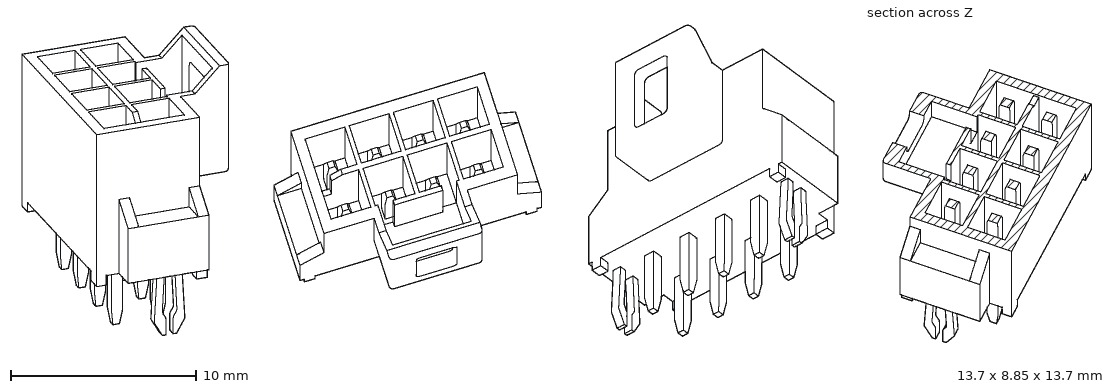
import cadquery as cq


BODY_X = 10.94
BODY_Y = 5.98
BODY_Z = 8.5
BACK_Y = BODY_Y / 2

COLUMNS = 4
ROWS = 2
PITCH = 2.5
CAVITY_X = 2.25
CAVITY_Y = 2.18
CAVITY_FLOOR_Z = 1.92

PIN_WIDTH = 0.65
PIN_TOP_Z = 5.76
PIN_BOTTOM_Z = -3.78
PIN_TOP_TIP_WIDTH = 0.34
PIN_TOP_TAPER = 0.74
PIN_BOTTOM_TIP_WIDTH = 0.38
PIN_BOTTOM_TAPER = 0.88

LATCH_X = 5.26
LATCH_Y = 2.87
LATCH_TOP_Z = 9.93
LATCH_BOTTOM_Z = 3.47
LATCH_ROUND = 0.22
LATCH_LIP = 0.59
LATCH_INNER_X = 4.44
LATCH_BACK_WALL = 0.85
LATCH_FLOOR_Z = LATCH_BOTTOM_Z + 0.41
LATCH_BACK_Y = BACK_Y + LATCH_Y
WINDOW_X = 2.3
WINDOW_TOP_Z = 8.61
WINDOW_BOTTOM_Z = 4.66
WINDOW_ROUND = 0.27
SCREEN_X = 2.73
SCREEN_THICKNESS = 0.27

KEY_GAP_X = 0.71
KEY_BEVEL_X = 0.62
KEY_BEVEL_Z = 0.62
KEY_GAP_DEPTH = 3.43

TOTAL_X = 13.65
WING_Y = 4.69
WING_FLAT_Z = 3.26
WING_TOP_Z = 4.41
WING_RIB_Y = 0.62

FOOT_Z = 0.56
BODY_FOOT_X = 0.82
BODY_FOOT_Y = 0.56
WING_FOOT_X = 0.62
WING_FOOT_Y = 0.62
WING_FOOT_INSET = 0.25

LOCK_X = 5.92
LOCK_Y = 0.96
LOCK_THICKNESS = 0.52
LOCK_OUTER_ROOT = 0.74
LOCK_OUTER_BARB = 0.89
LOCK_OUTER_TIP = 0.41
LOCK_INNER_ROOT = 0.32
LOCK_INNER_NECK = 0.43
LOCK_INNER_TIP = 0.2
LOCK_BEND_Z = -0.26
LOCK_BARB_Z = -2.95
LOCK_NECK_Z = -2.4
LOCK_THROAT_Z = -2.77
LOCK_BARB_ROUND = 0.14
LOCK_INNER_ROUND = 0.34


def box(x_range, y_range, z_range):
    """Box between the given limits."""
    size = [high - low for low, high in (x_range, y_range, z_range)]
    corner = (x_range[0], y_range[0], z_range[0])
    return cq.Workplane("XY").box(*size, centered=False).translate(corner)


def centred(width):
    """Limits of a width laid evenly about the origin."""
    return (-width / 2, width / 2)


def both_sides(shape):
    """The shape together with its mirror image across the YZ plane."""
    return shape.union(shape.mirror("YZ"))


def contact_positions():
    """Centre of every contact, row by row."""
    return [
        ((column - (COLUMNS - 1) / 2) * PITCH, (row - (ROWS - 1) / 2) * PITCH)
        for row in range(ROWS)
        for column in range(COLUMNS)
    ]


def make_latch():
    """Box behind the housing with a raised back wall sloping down to the housing top."""
    slope_run = LATCH_TOP_Z - BODY_Z
    profile = [
        (0, LATCH_BOTTOM_Z),
        (LATCH_BACK_Y, LATCH_BOTTOM_Z),
        (LATCH_BACK_Y, LATCH_TOP_Z),
        (LATCH_BACK_Y - LATCH_LIP, LATCH_TOP_Z),
        (LATCH_BACK_Y - LATCH_LIP - slope_run, BODY_Z),
        (0, BODY_Z),
    ]
    latch = cq.Workplane("YZ").polyline(profile).close().extrude(LATCH_X / 2, both=True)
    back_uprights = latch.faces(">Y").edges("|Z")
    bottom_edges = latch.faces("<Z").edges("|Y or >Y")
    return latch.newObject(back_uprights.vals() + bottom_edges.vals()).fillet(LATCH_ROUND)


def make_latch_opening():
    """Space inside the latch box, joined to the cavities, with a window through its back wall."""
    inner_back_y = LATCH_BACK_Y - LATCH_BACK_WALL
    cavity_back_y = PITCH / 2 + CAVITY_Y / 2
    opening = box(centred(LATCH_INNER_X), (cavity_back_y, inner_back_y), (LATCH_FLOOR_Z, LATCH_TOP_Z))
    screen_y = (cavity_back_y, cavity_back_y + SCREEN_THICKNESS)
    opening = opening.cut(box(centred(SCREEN_X), screen_y, (LATCH_FLOOR_Z, BODY_Z)))
    window = box(centred(WINDOW_X), (inner_back_y, LATCH_BACK_Y), (WINDOW_BOTTOM_Z, WINDOW_TOP_Z))
    return opening.union(window.edges("|Y").fillet(WINDOW_ROUND))


def make_cavities():
    """One square well per contact."""
    return (
        cq.Workplane("XY", origin=(0, 0, CAVITY_FLOOR_Z))
        .pushPoints(contact_positions())
        .rect(CAVITY_X, CAVITY_Y)
        .extrude(BODY_Z - CAVITY_FLOOR_Z)
    )


def make_key_gap():
    """Gap with a bevelled edge, cut through the row divider against the +X wall."""
    wall_x = (COLUMNS - 1) / 2 * PITCH + CAVITY_X / 2
    gap_x = wall_x - KEY_GAP_X
    profile = [
        (wall_x, BODY_Z),
        (gap_x - KEY_BEVEL_X, BODY_Z),
        (gap_x, BODY_Z - KEY_BEVEL_Z),
        (gap_x, BODY_Z - KEY_GAP_DEPTH),
        (wall_x, BODY_Z - KEY_GAP_DEPTH),
    ]
    return cq.Workplane("XZ").polyline(profile).close().extrude((PITCH - CAVITY_Y) / 2, both=True)


def make_wing():
    """Block on the +X side with a sloping rib along its front and back edges."""
    wall_x = BODY_X / 2
    outer_x = TOTAL_X / 2
    profile = [(0, 0), (outer_x, 0), (outer_x, WING_FLAT_Z), (wall_x, WING_TOP_Z), (0, WING_TOP_Z)]
    wing = cq.Workplane("XZ", origin=(0, BACK_Y, 0)).polyline(profile).close().extrude(WING_Y)
    recess_y = (BACK_Y - WING_Y + WING_RIB_Y, BACK_Y - WING_RIB_Y)
    return wing.cut(box((wall_x, outer_x), recess_y, (WING_FLAT_Z, WING_TOP_Z)))


def make_feet():
    """Feet on the +X side: one under the housing front, one under the wing back."""
    body_edge = BODY_X / 2
    wing_edge = TOTAL_X / 2 - WING_FOOT_INSET
    front_foot = box((body_edge - BODY_FOOT_X, body_edge), (-BACK_Y, BODY_FOOT_Y - BACK_Y), (-FOOT_Z, 0))
    back_foot = box((wing_edge - WING_FOOT_X, wing_edge), (BACK_Y - WING_FOOT_Y, BACK_Y), (-FOOT_Z, 0))
    return front_foot.union(back_foot)


def make_board_lock():
    """Pair of barbed prongs under the +X wing."""
    profile = [
        (LOCK_INNER_ROOT, 0),
        (LOCK_OUTER_ROOT, 0),
        (LOCK_OUTER_ROOT, LOCK_BEND_Z),
        (LOCK_OUTER_BARB, LOCK_BARB_Z),
        (LOCK_OUTER_TIP, PIN_BOTTOM_Z),
        (LOCK_INNER_TIP, PIN_BOTTOM_Z),
        (LOCK_INNER_TIP, LOCK_THROAT_Z),
        (LOCK_INNER_NECK, LOCK_NECK_Z),
        (LOCK_INNER_ROOT, LOCK_BEND_Z),
    ]
    prong = cq.Workplane("YZ").polyline(profile).close().extrude(LOCK_THICKNESS / 2, both=True)
    barb = cq.selectors.NearestToPointSelector((0, LOCK_OUTER_BARB, LOCK_BARB_Z))
    neck = cq.selectors.NearestToPointSelector((0, LOCK_INNER_NECK, LOCK_NECK_Z))
    throat = cq.selectors.NearestToPointSelector((0, LOCK_INNER_TIP, LOCK_THROAT_Z))
    prong = prong.edges("|X").edges(barb).fillet(LOCK_BARB_ROUND)
    prong = prong.edges("|X").edges(neck + throat).fillet(LOCK_INNER_ROUND)
    return prong.union(prong.mirror("XZ")).translate((LOCK_X, LOCK_Y, 0))


def make_tip(start_z, end_z, tip_width):
    """Square taper from the pin width down to the tip width."""
    return (
        cq.Workplane("XY", origin=(0, 0, start_z))
        .rect(PIN_WIDTH, PIN_WIDTH)
        .workplane(offset=end_z - start_z)
        .rect(tip_width, tip_width)
        .loft(ruled=True)
    )


def make_pin():
    """Square contact pin tapered at both ends."""
    shank_top = PIN_TOP_Z - PIN_TOP_TAPER
    shank_bottom = PIN_BOTTOM_Z + PIN_BOTTOM_TAPER
    shank = box(centred(PIN_WIDTH), centred(PIN_WIDTH), (shank_bottom, shank_top))
    top_tip = make_tip(shank_top, PIN_TOP_Z, PIN_TOP_TIP_WIDTH)
    bottom_tip = make_tip(shank_bottom, PIN_BOTTOM_Z, PIN_BOTTOM_TIP_WIDTH)
    return shank.union(top_tip).union(bottom_tip)


housing = box(centred(BODY_X), centred(BODY_Y), (0, BODY_Z))
housing = housing.union(make_latch()).union(both_sides(make_wing()))
housing = housing.cut(make_cavities()).cut(make_latch_opening()).cut(make_key_gap())

result = housing.union(both_sides(make_feet())).union(both_sides(make_board_lock()))
pin = make_pin()
for x, y in contact_positions():
    result = result.union(pin.translate((x, y, 0)))